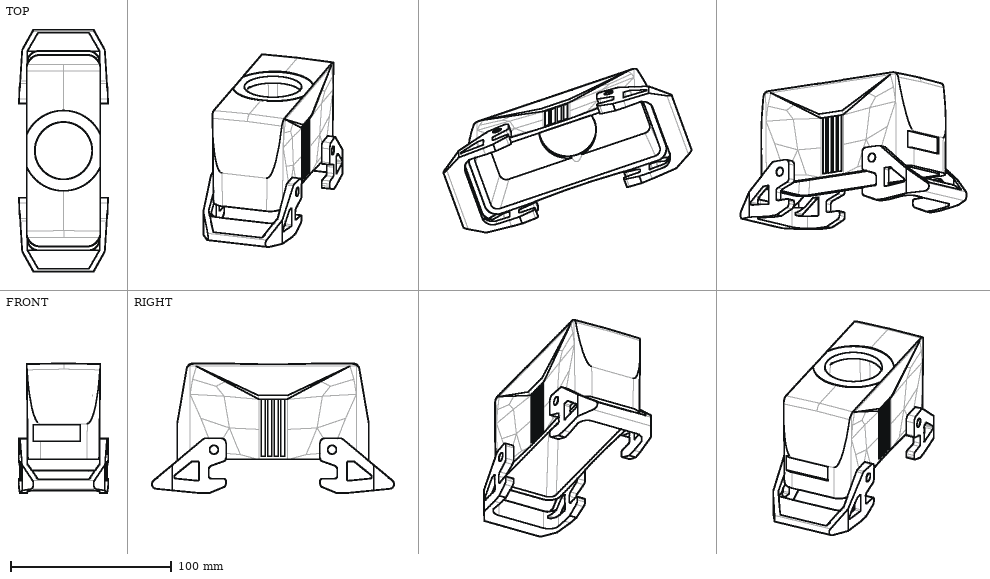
import cadquery as cq
import math

HOOD_LENGTH = 119.8
BASE_WIDTH = 44.6
ROOF_WIDTH = 46.1
CORNER_RADIUS = 7.9
ROOF_HEIGHT = 60.0
RIM_BAND = 1.7
EAVES_DROP = 0.5
DRAFT_TOP = ROOF_HEIGHT - RIM_BAND

END_BEND_HEIGHT = 22.4
END_SETBACK = 6.5
END_FILLET = 4.2

ENTRY_RADIUS = 17.8
SEAT_RADIUS = 25.1
SEAT_DEPTH = 0.6
ENTRY_DEPTH = 18.1

ROOF_THICKNESS = 5.1
CAVITY_BASE = (38.1, 111.9)
CAVITY_TOP = (35.1, 99.2)
CAVITY_CORNER = 4.5

PANEL_HALF_WIDTH = 8.9
PANEL_X = 21.5
PANEL_TOP = 37.6
PANEL_MIDDLE = 18.9
LEDGE_TOP = 40.0
LEDGE_HALF_WIDTH = 9.4
LEDGE_SPLIT = 0.46
GROOVE_COUNT = 4
GROOVE_PITCH = 4.1
GROOVE_WIDTH = 2.7
GROOVE_DEPTH = 0.5
GROOVE_BOTTOM = 2.1

LABEL_RIGHT = 10.6
LABEL_BOTTOM = 11.5
LABEL_TOP = 21.8
LABEL_DEPTH = 1.2

OVERALL_WIDTH = 56.0
OVERALL_LENGTH = 151.2
LEVER_TOP = 13.2
LEVER_BOTTOM = -21.0
LEVER_BACK = 29.3
LEVER_INNER_X = 22.5
BEND_Y = 62.9
BEND_X = 25.9
TIP_Y = OVERALL_LENGTH / 2
TIP_X = 18.7
NOSE_RADIUS = 3.0
NOSE_Z = -15.4
NOSE_TOP_ANGLE = math.radians(39.8)
NOSE_BOTTOM_ANGLE = math.radians(5.6)
BAR_BACK = 62.1
BAR_TOP = -6.8
BAR_CORNER = 7.0
THUMB_FRONT_Y = 73.6
THUMB_FRONT_X = 15.9
THUMB_FRONT_Z = -12.4
PIVOT = (36.9, 6.0)
PIVOT_RADIUS = 2.7
PIVOT_INNER_X = 20.1
PIVOT_OUTER_X = 27.7

CLEARANCE = 7.5


def rounded_loft(base, top, radius, height):
    """Loft between two rounded rectangles, from Z = 0 up to the height."""
    lower = cq.Sketch().rect(*base).vertices().fillet(radius)
    upper = cq.Sketch().rect(*top).vertices().fillet(radius)
    placed_upper = upper.moved(cq.Location(cq.Vector(0, 0, height)))
    return cq.Workplane("XY").placeSketch(lower, placed_upper).loft(ruled=True)


def extrude_along_x(points, half_width):
    """Prism with a (Y, Z) outline, centred on X = 0."""
    return cq.Workplane("YZ").polyline(points).close().extrude(half_width, both=True)


def extrude_along_z(points):
    """Tall prism with an (X, Y) outline, covering every height of the part."""
    return cq.Workplane("XY").polyline(points).close().extrude(OVERALL_LENGTH, both=True)


def round_corners(prism, corners):
    """Fillet the X-parallel edges of a prism at the given (Y, Z, radius) corners."""
    for y, z, radius in corners:
        corner = cq.selectors.NearestToPointSelector((0, y, z))
        prism = prism.edges("|X").edges(corner).fillet(radius)
    return prism


def mirrored_pair(solid, plane):
    return solid.union(solid.mirror(plane))


def hood_blank():
    base = (BASE_WIDTH, HOOD_LENGTH)
    top = (ROOF_WIDTH, HOOD_LENGTH)
    rim = cq.Workplane("XY", origin=(0, 0, DRAFT_TOP)).rect(*top).extrude(RIM_BAND)
    rim = rim.edges("|Z").fillet(CORNER_RADIUS)
    blank = rounded_loft(base, top, CORNER_RADIUS, DRAFT_TOP).union(rim)
    half_length = HOOD_LENGTH / 2
    end_profile = [
        (-half_length, 0),
        (half_length, 0),
        (half_length, END_BEND_HEIGHT),
        (half_length - END_SETBACK, ROOF_HEIGHT),
        (END_SETBACK - half_length, ROOF_HEIGHT),
        (-half_length, END_BEND_HEIGHT),
    ]
    blank = blank.intersect(extrude_along_x(end_profile, ROOF_WIDTH)).cut(roof_relief())
    edge_y = half_length - END_SETBACK
    top_edges = cq.Workplane()
    for x in (-ROOF_WIDTH / 4, ROOF_WIDTH / 4):
        for y in (-edge_y, edge_y):
            end_edge = cq.selectors.NearestToPointSelector((x, y, ROOF_HEIGHT - EAVES_DROP / 2))
            top_edges = top_edges.add(blank.edges(end_edge))
    return blank.newObject(top_edges.vals()).fillet(END_FILLET)


def roof_relief():
    """Material above the two roof planes, which fall from a central ridge to the eaves."""
    edge = ROOF_WIDTH / 2
    eaves = ROOF_HEIGHT - EAVES_DROP
    above = ROOF_HEIGHT + CLEARANCE
    outline = [(-edge, eaves), (0, ROOF_HEIGHT), (edge, eaves), (edge, above), (-edge, above)]
    return cq.Workplane("XZ").polyline(outline).close().extrude(HOOD_LENGTH, both=True)


def drafted_point(y, z):
    """Point on the drafted -X side of the hood."""
    draft = (ROOF_WIDTH - BASE_WIDTH) / 2
    return cq.Vector(-BASE_WIDTH / 2 - draft * z / DRAFT_TOP, y, z)


def flat_face(*points):
    return cq.Face.makeFromWires(cq.Wire.makePolygon(points, close=True))


def ruled_face(a, b, c, d):
    return cq.Face.makeRuledSurface(cq.Edge.makeLine(a, b), cq.Edge.makeLine(d, c))


def side_recess():
    """Faceted hollow in the +Y half of the -X side, deepest at the grip panel."""
    ledge_middle = drafted_point(0, LEDGE_TOP)
    ledge_end = drafted_point(LEDGE_HALF_WIDTH, LEDGE_TOP)
    upper_corner = drafted_point(48.0, 58.2)
    upper_side = drafted_point(50.3, 50.2)
    side_corner = drafted_point(51.9, 40.8)
    lower_side = drafted_point(45.2, 25.9)
    foot_side = drafted_point(36.7, 4.5)
    foot = drafted_point(34.8, 0)
    panel_top_middle = cq.Vector(-PANEL_X, 0, PANEL_TOP)
    panel_top = cq.Vector(-PANEL_X, PANEL_HALF_WIDTH, PANEL_TOP)
    panel_side = cq.Vector(-PANEL_X, PANEL_HALF_WIDTH, PANEL_MIDDLE)
    panel_foot = cq.Vector(-PANEL_X, PANEL_HALF_WIDTH, 0)
    panel_foot_middle = cq.Vector(-PANEL_X, 0, 0)
    ledge_split = upper_corner + (panel_top - upper_corner) * LEDGE_SPLIT
    upper_node = cq.Vector(-22.5, 35.7, 45.8)
    centre_node = cq.Vector(-22.0, 30.7, 39.6)
    lower_node = cq.Vector(-21.8, 27.4, 19.8)
    foot_node = cq.Vector(-21.8, 20.5, 3.2)

    facets = [
        ruled_face(ledge_middle, ledge_end, panel_top, panel_top_middle),
        flat_face(ledge_end, upper_corner, ledge_split),
        flat_face(ledge_end, ledge_split, panel_top),
        ruled_face(upper_corner, upper_side, upper_node, ledge_split),
        ruled_face(upper_side, side_corner, centre_node, upper_node),
        ruled_face(ledge_split, upper_node, centre_node, panel_top),
        ruled_face(side_corner, lower_side, lower_node, centre_node),
        ruled_face(centre_node, lower_node, panel_side, panel_top),
        flat_face(lower_side, foot_side, lower_node),
        flat_face(lower_node, foot_side, foot_node),
        ruled_face(lower_node, foot_node, panel_foot, panel_side),
        ruled_face(foot_side, foot_node, panel_foot, foot),
        flat_face(panel_top_middle, panel_top, panel_side, panel_foot, panel_foot_middle),
    ]
    border = [
        ledge_middle, ledge_end, upper_corner, upper_side, side_corner, lower_side, foot_side,
        foot, panel_foot, panel_foot_middle, panel_top_middle,
    ]
    outside = [cq.Vector(-ROOF_WIDTH / 2 - CLEARANCE, p.y, p.z) for p in border]
    walls = [
        flat_face(border[i - 1], border[i], outside[i], outside[i - 1])
        for i in range(len(border))
    ]
    shell = cq.Shell.makeShell(facets + walls + [flat_face(*outside)])
    return cq.Workplane(cq.Solid.makeSolid(shell))


def grip_grooves():
    """Vertical grooves in the grip panel on the -X side."""
    height = PANEL_TOP - GROOVE_BOTTOM
    return (
        cq.Workplane("YZ", origin=(-PANEL_X, 0, GROOVE_BOTTOM + height / 2))
        .rarray(GROOVE_PITCH, 1.5, GROOVE_COUNT, 1)
        .rect(GROOVE_WIDTH, height)
        .extrude(GROOVE_DEPTH)
    )


def label_recess():
    floor = LABEL_DEPTH - HOOD_LENGTH / 2
    left = -BASE_WIDTH / 2
    size = (LABEL_RIGHT - left, CLEARANCE, LABEL_TOP - LABEL_BOTTOM)
    block = cq.Workplane("XY").box(*size, centered=False)
    return block.translate((left, floor - CLEARANCE, LABEL_BOTTOM))


def roof_bore(radius, depth):
    """Cylinder reaching down from the roof ridge at the middle of the hood."""
    return cq.Workplane("XY", origin=(0, 0, ROOF_HEIGHT - depth)).circle(radius).extrude(depth)


def make_hood():
    hood = hood_blank()
    half_recess = side_recess()
    for recess in (half_recess, half_recess.mirror("XZ"), grip_grooves()):
        hood = hood.cut(recess).cut(recess.mirror("YZ"))
    cavity_height = ROOF_HEIGHT - ROOF_THICKNESS
    cavity = rounded_loft(CAVITY_BASE, CAVITY_TOP, CAVITY_CORNER, cavity_height)
    hood = hood.cut(label_recess()).cut(cavity)
    return hood.cut(roof_bore(ENTRY_RADIUS, ENTRY_DEPTH)).cut(roof_bore(SEAT_RADIUS, SEAT_DEPTH))


def lever_side_profile():
    """Side shape of the lever: hooked arms, a window and a tapering nose."""
    half_angle = (NOSE_TOP_ANGLE + NOSE_BOTTOM_ANGLE) / 2
    tilt = (NOSE_TOP_ANGLE - NOSE_BOTTOM_ANGLE) / 2
    reach = NOSE_RADIUS / math.sin(half_angle)
    apex_y = TIP_Y - NOSE_RADIUS + reach * math.cos(tilt)
    apex_z = NOSE_Z - reach * math.sin(tilt)
    shoulder_y = apex_y - (LEVER_TOP - apex_z) / math.tan(NOSE_TOP_ANGLE)
    heel_y = apex_y - (apex_z - LEVER_BOTTOM) / math.tan(NOSE_BOTTOM_ANGLE)
    outline = [
        (shoulder_y, LEVER_TOP),
        (LEVER_BACK, LEVER_TOP),
        (LEVER_BACK, -0.8),
        (40.0, -4.5),
        (40.0, -12.0),
        (LEVER_BACK, -12.0),
        (LEVER_BACK, -16.8),
        (39.6, LEVER_BOTTOM),
        (heel_y, LEVER_BOTTOM),
        (apex_y, apex_z),
    ]
    roundings = [
        (shoulder_y, LEVER_TOP, 2.3),
        (LEVER_BACK, LEVER_TOP, 3.0),
        (LEVER_BACK, -0.8, 2.3),
        (40.0, -4.5, 2.4),
        (40.0, -12.0, 1.5),
        (LEVER_BACK, -12.0, 1.5),
        (LEVER_BACK, -16.8, 2.7),
        (apex_y, apex_z, NOSE_RADIUS),
    ]
    profile = round_corners(extrude_along_x(outline, OVERALL_WIDTH), roundings)

    window_outline = [(50.7, -1.4), (46.3, -1.4), (46.3, -13.3), (61.5, -11.8), (61.5, -10.1)]
    window = extrude_along_x(window_outline, OVERALL_WIDTH)
    window = round_corners(window, [(y, z, 0.8) for y, z in window_outline])
    return profile.cut(window)


def mirrored_outline(half):
    return half + [(-x, y) for x, y in reversed(half)]


def make_lever():
    """Locking lever on the +Y end: two arms joined by a bar."""
    outer = extrude_along_z(mirrored_outline([
        (OVERALL_WIDTH / 2, LEVER_BACK),
        (BEND_X, BEND_Y),
        (TIP_X, TIP_Y),
        (TIP_X, TIP_Y + CLEARANCE),
    ]))
    lever = lever_side_profile().intersect(outer)

    gap_length = BAR_BACK - LEVER_BACK + CLEARANCE
    gap = (
        cq.Workplane("XY", origin=(0, BAR_BACK - gap_length / 2, 0))
        .rect(2 * LEVER_INNER_X, gap_length)
        .extrude(OVERALL_LENGTH, both=True)
        .edges("|Z and >Y")
        .fillet(BAR_CORNER)
    )
    lever = lever.cut(gap)

    thumb_side = [
        (LEVER_BACK, BAR_TOP),
        (BAR_BACK, BAR_TOP),
        (THUMB_FRONT_Y, THUMB_FRONT_Z),
        (THUMB_FRONT_Y, LEVER_TOP),
        (LEVER_BACK, LEVER_TOP),
    ]
    thumb_plan = extrude_along_z(mirrored_outline([
        (LEVER_INNER_X, LEVER_BACK),
        (LEVER_INNER_X, BAR_BACK),
        (THUMB_FRONT_X, THUMB_FRONT_Y),
    ]))
    lever = lever.cut(extrude_along_x(thumb_side, OVERALL_WIDTH).intersect(thumb_plan))

    pin = (
        cq.Workplane("YZ", origin=(PIVOT_INNER_X, 0, 0))
        .center(*PIVOT)
        .circle(PIVOT_RADIUS)
        .extrude(PIVOT_OUTER_X - PIVOT_INNER_X)
    )
    return lever.union(mirrored_pair(pin, "YZ"))


result = make_hood().union(mirrored_pair(make_lever(), "XZ"))